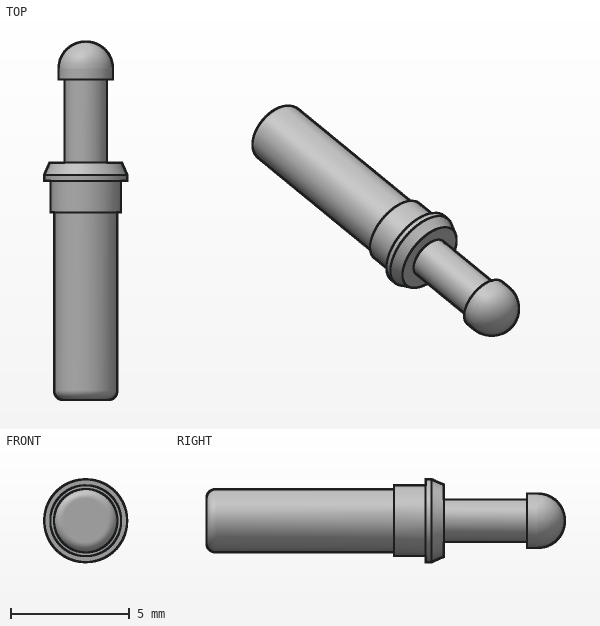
import cadquery as cq

total_length = 15.1

barrel_diameter = 2.67
shoulder_diameter = 2.99
collar_diameter = 3.5
collar_front_diameter = 3.05
plunger_diameter = 1.8
head_diameter = 2.31

barrel_length = 7.9
shoulder_length = 1.33
collar_rim_length = 0.25
collar_taper_length = 0.51
head_rim_length = 0.45
barrel_end_fillet = 0.4

barrel_end = -total_length / 2
shoulder_start = barrel_end + barrel_length
collar_start = shoulder_start + shoulder_length
taper_start = collar_start + collar_rim_length
collar_end = taper_start + collar_taper_length
tip = total_length / 2
head_radius = head_diameter / 2
dome_start = tip - head_radius
head_start = dome_start - head_rim_length


def cylinder(diameter, start, end):
    """Solid cylinder along Y between two axial positions."""
    return cq.Workplane("XZ", origin=(0, start, 0)).circle(diameter / 2).extrude(start - end)


def collar_taper():
    """Cone that narrows from the collar rim toward the plunger."""
    return (
        cq.Workplane("XZ", origin=(0, taper_start, 0))
        .circle(collar_diameter / 2)
        .workplane(offset=-collar_taper_length)
        .circle(collar_front_diameter / 2)
        .loft(ruled=True)
    )


def head():
    """Short cylindrical rim capped by a hemisphere."""
    profile = (
        cq.Workplane("XY")
        .moveTo(0, head_start)
        .lineTo(head_radius, head_start)
        .lineTo(head_radius, dome_start)
        .radiusArc((0, tip), -head_radius)
        .close()
    )
    return profile.revolve(360, (0, 0, 0), (0, 1, 0))


barrel = cylinder(barrel_diameter, barrel_end, shoulder_start).faces("<Y").edges().fillet(barrel_end_fillet)
shoulder = cylinder(shoulder_diameter, shoulder_start, collar_start)
collar_rim = cylinder(collar_diameter, collar_start, taper_start)
plunger = cylinder(plunger_diameter, collar_end, head_start)

result = barrel.union(shoulder).union(collar_rim).union(collar_taper()).union(plunger).union(head())